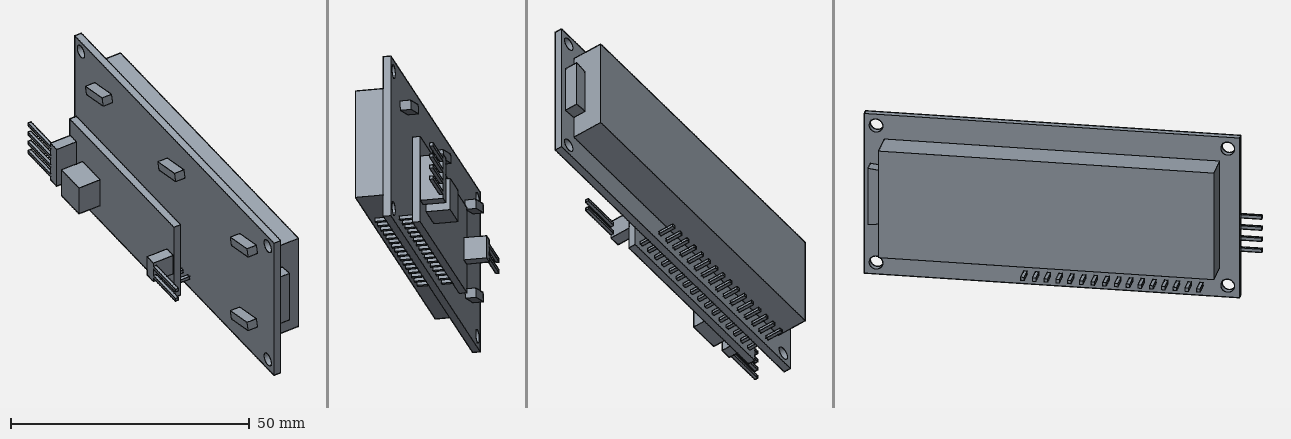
import cadquery as cq


OVERALL_LENGTH = 82.75

BOARD_LENGTH = 79.9
BOARD_HEIGHT = 36.0
BOARD_THICKNESS = 1.65
BOARD_LEFT = -BOARD_LENGTH / 2
BOARD_BOTTOM = -BOARD_HEIGHT / 2
MOUNT_HOLE_DIAMETER = 2.9
MOUNT_HOLE_SPACING_X = 74.9
MOUNT_HOLE_SPACING_Z = 30.9

SCREEN_LENGTH = 71.4
SCREEN_HEIGHT = 24.0
SCREEN_DEPTH = 7.0
SCREEN_LEFT = BOARD_LEFT + 4.2
SCREEN_RIGHT = SCREEN_LEFT + SCREEN_LENGTH
SCREEN_TOP = BOARD_HEIGHT / 2 - 5.5
SCREEN_MIDDLE_Z = SCREEN_TOP - SCREEN_HEIGHT / 2
TAB_LENGTH = 3.0
TAB_DEPTH = 3.0
TAB_ROOT_HEIGHT = SCREEN_HEIGHT / 2
TAB_FLARE = 0.3

COMPONENT_LENGTH = 6.9
COMPONENT_WIDTH = 2.0
COMPONENT_DEPTH = 2.3
COMPONENT_TILT = 13.0
COMPONENT_SPACING_X = 29.05
COMPONENT_MIDDLE_X = 0.75
COMPONENT_RIGHT_X = COMPONENT_MIDDLE_X + COMPONENT_SPACING_X
COMPONENT_UPPER_Z = 10.75
COMPONENT_LOWER_Z = COMPONENT_UPPER_Z - 20.0
COMPONENT_CENTRES = [
    (COMPONENT_MIDDLE_X - COMPONENT_SPACING_X, COMPONENT_UPPER_Z),
    (COMPONENT_MIDDLE_X, COMPONENT_UPPER_Z),
    (COMPONENT_RIGHT_X, COMPONENT_UPPER_Z),
    (COMPONENT_RIGHT_X, COMPONENT_LOWER_Z),
]

PIN_SIZE = 0.75
LINK_PIN_COUNT = 16
LINK_PIN_ROW_LENGTH = 37.5
PIN_PITCH = LINK_PIN_ROW_LENGTH / (LINK_PIN_COUNT - 1)
LINK_PIN_FIRST_X = BOARD_LEFT + 8.1
LINK_PIN_Z = -15.5
LINK_PIN_TIP = BOARD_THICKNESS + 3.6

BOARD_GAP = 3.2
DRIVER_LENGTH = 41.8
DRIVER_HEIGHT = 19.2
DRIVER_THICKNESS = 1.65
DRIVER_LEFT = BOARD_LEFT + 5.95
DRIVER_RIGHT = DRIVER_LEFT + DRIVER_LENGTH
DRIVER_BOTTOM = BOARD_BOTTOM + 0.5
DRIVER_REAR = -BOARD_GAP - DRIVER_THICKNESS

TRIMMER_SIZE = 7.0
TRIMMER_DEPTH = 5.2
TRIMMER_LEFT = DRIVER_LEFT + 5.2
TRIMMER_BOTTOM = DRIVER_BOTTOM + 4.2

HEADER_WIDTH = PIN_PITCH
HEADER_DEPTH = 4.9
HEADER_INSET = 0.25
LEFT_HEADER_PIN_COUNT = 4
LEFT_HEADER_BOTTOM = DRIVER_BOTTOM + 4.9
LEFT_PIN_TIP = BOARD_LENGTH / 2 - OVERALL_LENGTH
RIGHT_HEADER_PIN_COUNT = 2
RIGHT_HEADER_BOTTOM = DRIVER_BOTTOM + 6.4
RIGHT_PIN_LENGTH = 8.85
HEADER_REAR = DRIVER_REAR - HEADER_DEPTH


def block(x_range, y_range, z_range):
    """Box that fills the given (low, high) range along each axis."""
    (x0, x1), (y0, y1), (z0, z1) = x_range, y_range, z_range
    return cq.Workplane("XY").box(x1 - x0, y1 - y0, z1 - z0, centered=False).translate((x0, y0, z0))


def link_pins(y_low, y_high):
    """Row of square bars along Y, used for the pins and for the holes they pass through."""
    half = PIN_SIZE / 2
    pins = cq.Workplane("XY")
    for index in range(LINK_PIN_COUNT):
        x = LINK_PIN_FIRST_X + index * PIN_PITCH
        pins = pins.add(
            block((x - half, x + half), (y_low, y_high), (LINK_PIN_Z - half, LINK_PIN_Z + half))
        )
    return pins.combine()


def display_board():
    board = block(
        (BOARD_LEFT, -BOARD_LEFT), (0, BOARD_THICKNESS), (BOARD_BOTTOM, -BOARD_BOTTOM)
    )
    mount_holes = (
        cq.Workplane("XZ")
        .rect(MOUNT_HOLE_SPACING_X, MOUNT_HOLE_SPACING_Z, forConstruction=True)
        .vertices()
        .circle(MOUNT_HOLE_DIAMETER / 2)
        .extrude(-BOARD_THICKNESS)
    )
    return board.cut(mount_holes).cut(link_pins(0, BOARD_THICKNESS))


def screen():
    return block(
        (SCREEN_LEFT, SCREEN_RIGHT),
        (BOARD_THICKNESS, BOARD_THICKNESS + SCREEN_DEPTH),
        (SCREEN_TOP - SCREEN_HEIGHT, SCREEN_TOP),
    )


def backlight_tab():
    """Tab beside the screen that widens slightly towards its free end."""
    root_half = TAB_ROOT_HEIGHT / 2
    tip_half = root_half + TAB_FLARE
    return (
        cq.Workplane("XZ", origin=(SCREEN_RIGHT, BOARD_THICKNESS, SCREEN_MIDDLE_Z))
        .moveTo(0, -root_half)
        .lineTo(TAB_LENGTH, -tip_half)
        .lineTo(TAB_LENGTH, tip_half)
        .lineTo(0, root_half)
        .close()
        .extrude(-TAB_DEPTH)
    )


def tilted_components():
    sketch = (
        cq.Sketch()
        .push(COMPONENT_CENTRES)
        .rect(COMPONENT_LENGTH, COMPONENT_WIDTH, angle=COMPONENT_TILT)
    )
    return cq.Workplane("XZ").placeSketch(sketch).extrude(COMPONENT_DEPTH)


def driver_board():
    return block(
        (DRIVER_LEFT, DRIVER_RIGHT),
        (DRIVER_REAR, -BOARD_GAP),
        (DRIVER_BOTTOM, DRIVER_BOTTOM + DRIVER_HEIGHT),
    )


def trimmer():
    return block(
        (TRIMMER_LEFT, TRIMMER_LEFT + TRIMMER_SIZE),
        (DRIVER_REAR - TRIMMER_DEPTH, DRIVER_REAR),
        (TRIMMER_BOTTOM, TRIMMER_BOTTOM + TRIMMER_SIZE),
    )


def pin_header(block_left, bottom, pin_count, pin_x_range):
    """Header block with one pin per pitch along Z, flush with the rear face."""
    header = block(
        (block_left, block_left + HEADER_WIDTH),
        (HEADER_REAR, DRIVER_REAR),
        (bottom, bottom + pin_count * PIN_PITCH),
    )
    for index in range(pin_count):
        pin_bottom = bottom + (index + 0.5) * PIN_PITCH - PIN_SIZE / 2
        pin = block(
            pin_x_range,
            (HEADER_REAR, HEADER_REAR + PIN_SIZE),
            (pin_bottom, pin_bottom + PIN_SIZE),
        )
        header = header.union(pin)
    return header


def left_header():
    block_left = DRIVER_LEFT + HEADER_INSET
    return pin_header(
        block_left, LEFT_HEADER_BOTTOM, LEFT_HEADER_PIN_COUNT, (LEFT_PIN_TIP, block_left)
    )


def right_header():
    block_right = DRIVER_RIGHT - HEADER_INSET
    return pin_header(
        block_right - HEADER_WIDTH,
        RIGHT_HEADER_BOTTOM,
        RIGHT_HEADER_PIN_COUNT,
        (block_right, block_right + RIGHT_PIN_LENGTH),
    )


def display_module():
    return display_board().union(screen()).union(backlight_tab()).union(tilted_components())


def driver_module():
    return (
        driver_board()
        .union(trimmer())
        .union(left_header())
        .union(right_header())
        .union(link_pins(-BOARD_GAP, LINK_PIN_TIP))
    )


display = display_module()
driver = driver_module()

result = cq.Compound.makeCompound([display.val(), driver.val()])